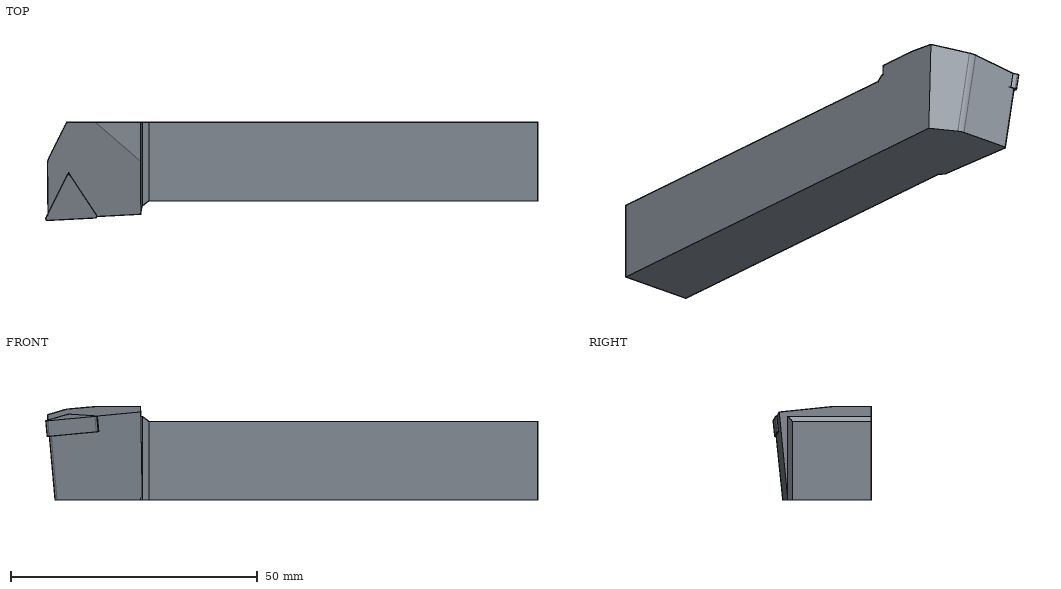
import cadquery as cq
import math


overall_length = 99.73
shank_size = 16.0

head_height = 19.0
head_end_bottom = 19.55
head_end_top = 19.25
head_corner_radius = 0.4
flank_blend_radius = 3.0

neck_start = 19.6
neck_flare_length = 1.3
neck_flare_rise = 1.0
neck_size = shank_size + neck_flare_rise

tip_y = -19.96
tip_z = 16.05
rise_x = 0.089
rise_y = 0.103

insert_side = 11.0
insert_thickness = 3.18
insert_nose_radius = 0.4
lead_angle = 3.0
corner_angle = 60.0
overhang = 0.45
edge_relief = 0.25

flank_length = 12.2
bevel_angle = 27.0
head_reach = 30.0

rake_plane = cq.Plane(
    origin=(0, tip_y, tip_z),
    xDir=(1, 0, rise_x),
    normal=(-rise_x, -rise_y, 1),
)
square_to_rake = cq.selectors.ParallelDirSelector(rake_plane.zDir)


def make_triangle_plate():
    """Sharp-cornered plate under the rake plane, which is also the shape of the insert's pocket."""
    front_direction = math.radians(lead_angle)
    rear_direction = math.radians(lead_angle + corner_angle)
    bisector = math.radians(lead_angle + corner_angle / 2)
    sharp_to_center = insert_nose_radius / math.sin(math.radians(corner_angle / 2))
    tip = (
        insert_nose_radius - sharp_to_center * math.cos(bisector),
        insert_nose_radius - sharp_to_center * math.sin(bisector),
    )
    front_corner = (
        tip[0] + insert_side * math.cos(front_direction),
        tip[1] + insert_side * math.sin(front_direction),
    )
    rear_corner = (
        tip[0] + insert_side * math.cos(rear_direction),
        tip[1] + insert_side * math.sin(rear_direction),
    )
    return (
        cq.Workplane(rake_plane)
        .polyline([tip, front_corner, rear_corner])
        .close()
        .extrude(-insert_thickness)
    )


def make_insert():
    """Triangular plate with its three corners rounded."""
    return make_triangle_plate().edges(square_to_rake).fillet(insert_nose_radius)


def round_flank_edge(flanks, corner, radius):
    """Round the edge that runs down from an outline corner of the rake plane."""
    middle = rake_plane.toWorldCoords((*corner, -head_reach / 2))
    nearest = cq.selectors.NearestToPointSelector(middle)
    return flanks.edges(square_to_rake).edges(nearest).fillet(radius)


def make_head():
    """Head with flanks square to the rake plane, trimmed to the tool's outer faces."""
    bevel_run = head_reach * math.tan(math.radians(bevel_angle))
    slope = math.tan(math.radians(lead_angle))
    tip_corner = (overhang, edge_relief + overhang * slope)
    front_end = (head_reach, edge_relief + head_reach * slope)
    rear_end = (head_reach, flank_length + head_reach)
    bevel_end = (overhang + bevel_run, flank_length + head_reach)
    bevel_start = (overhang, flank_length)
    flanks = (
        cq.Workplane(rake_plane)
        .polyline([tip_corner, front_end, rear_end, bevel_end, bevel_start])
        .close()
        .extrude(-head_reach)
    )
    flanks = round_flank_edge(flanks, tip_corner, head_corner_radius)
    flanks = round_flank_edge(flanks, bevel_start, flank_blend_radius)
    envelope_outline = [
        (-head_reach, 0),
        (head_end_bottom, 0),
        (head_end_top, head_height),
        (-head_reach, head_height),
    ]
    envelope = (
        cq.Workplane("XZ")
        .polyline(envelope_outline)
        .close()
        .extrude(head_reach)
    )
    return flanks.intersect(envelope)


def square_block(start, end, size):
    """Bar of square section from one X to another, against the back side and the underside."""
    return (
        cq.Workplane("XY")
        .box(end - start, size, size, centered=False)
        .translate((start, -size, 0))
    )


def make_shank():
    """Square bar with a neck flaring towards the front and the top."""
    neck_end = neck_start + neck_flare_length
    bar = square_block(head_end_top / 2, overall_length, shank_size)
    neck = (
        square_block(head_end_top, neck_end, neck_size)
        .faces(">X")
        .edges(">Z or <Y")
        .chamfer(neck_flare_rise, neck_flare_length)
    )
    return bar.union(neck)


insert = make_insert()
holder = make_head().union(make_shank()).cut(make_triangle_plate())

result = cq.Compound.makeCompound([holder.val(), insert.val()])